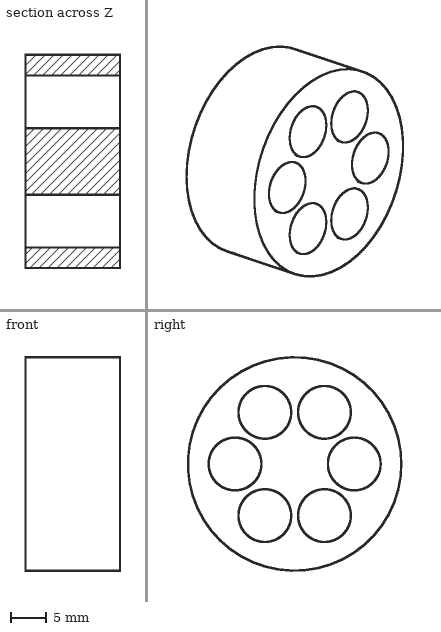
import cadquery as cq

disc_diameter = 30.5
disc_thickness = 13.5
hole_diameter = 7.5
hole_count = 6
hole_circle_radius = 8.5

disc = cq.Workplane("YZ").circle(disc_diameter / 2).extrude(disc_thickness)

holes = (
    cq.Workplane("YZ")
    .polarArray(hole_circle_radius, 0, 360, hole_count)
    .circle(hole_diameter / 2)
    .extrude(disc_thickness)
)

result = disc.cut(holes)